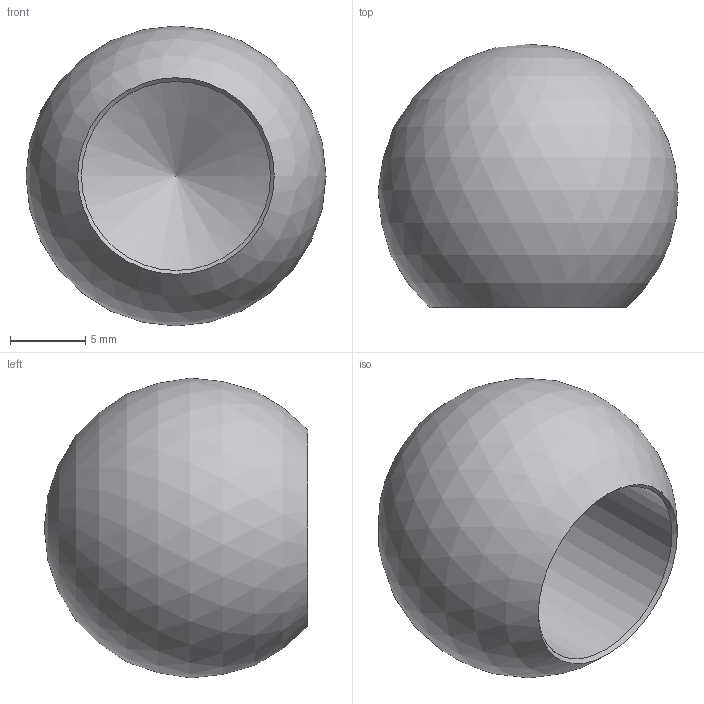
import cadquery as cq
import math

ball_diameter = 20.0
ball_radius = ball_diameter / 2

bore_diameter = 12.6
bore_radius = bore_diameter / 2
bore_depth = 10.0
drill_point_angle = 118.0
drill_point_height = bore_radius / math.tan(math.radians(drill_point_angle / 2))

mouth_chamfer = 0.25
rim_radius = bore_radius + mouth_chamfer
flat_y = -math.sqrt(ball_radius**2 - rim_radius**2)


def half_section():
    """Closed XY outline of the wall, on the +X side of the Y axis."""
    wall_end_y = flat_y + bore_depth
    return (
        cq.Workplane("XY")
        .moveTo(0, ball_radius)
        .lineTo(0, wall_end_y + drill_point_height)
        .lineTo(bore_radius, wall_end_y)
        .lineTo(bore_radius, flat_y + mouth_chamfer)
        .lineTo(rim_radius, flat_y)
        .threePointArc((ball_radius, 0), (0, ball_radius))
        .close()
    )


result = half_section().revolve(360, (0, 0, 0), (0, 1, 0))